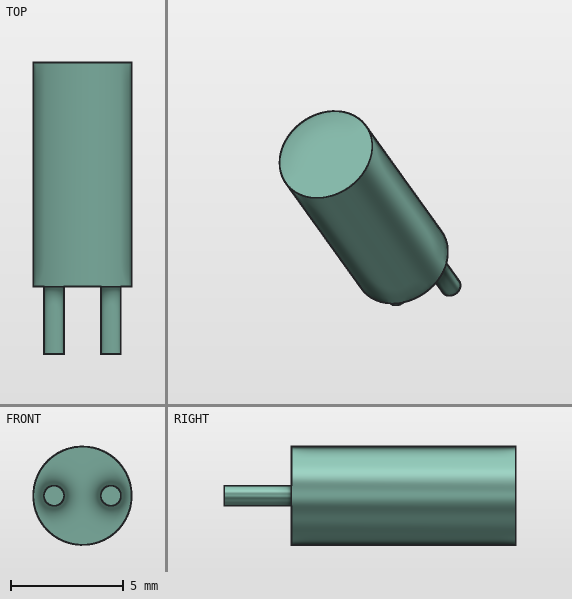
import cadquery as cq

total_length = 13.0
body_length = 10.0
body_diameter = 4.4
pin_diameter = 0.9
pin_spacing = 2.54

pin_length = total_length - body_length

pin_tip_y = -total_length / 2
body_front_y = pin_tip_y + pin_length


def cylinder_along_y(diameter, length, x, start_y):
    """Solid cylinder running toward +Y from start_y, with its axis at the given x."""
    start_plane = cq.Plane(origin=(x, start_y, 0), xDir=(1, 0, 0), normal=(0, 1, 0))
    return cq.Workplane(start_plane).circle(diameter / 2).extrude(length)


result = cylinder_along_y(body_diameter, body_length, 0, body_front_y)

for pin_x in (-pin_spacing / 2, pin_spacing / 2):
    result = result.union(cylinder_along_y(pin_diameter, pin_length, pin_x, pin_tip_y))